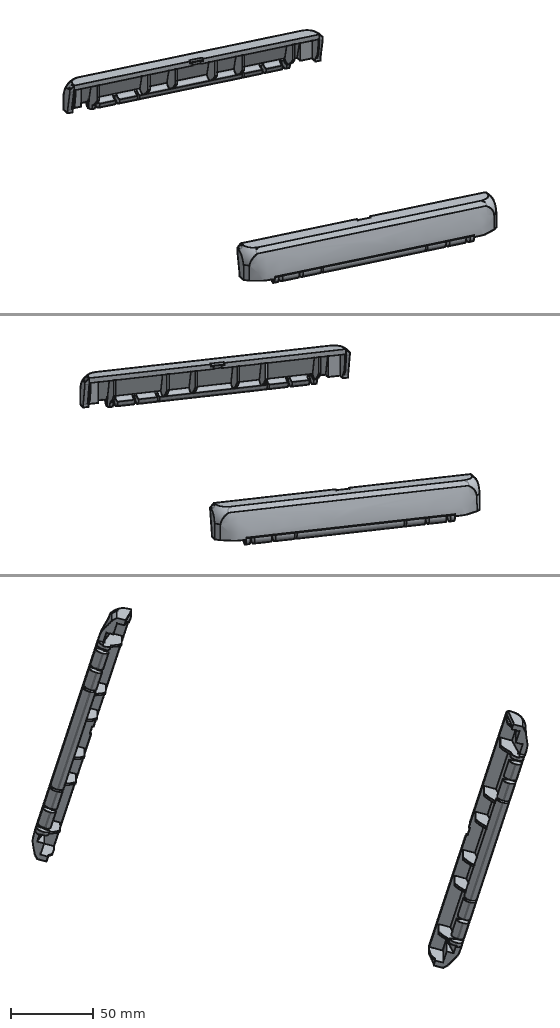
import cadquery as cq
import math

PAIR_WIDTH = 271.0
LENGTH = 170.0
HEIGHT = 24.5
HALF_LENGTH = LENGTH / 2
OUTER_X = -PAIR_WIDTH / 2
TOP_Z = HEIGHT / 2

COVER_WIDTH = 16.5
SHELL_DEPTH = 20.0
SIDE_TOP_INSET = 4.5
LEAN_BOW = 1.4
END_INSET = 4.3
END_BEND_LENGTH = 8.7
BEND_SOFTNESS = 0.2
CHAMFER = 2.7
SIDE_CHAMFER = 2.5
CORNER_SETBACK = 9.8
CORNER_BALL_RADIUS = 12.0
SKIN_COLUMNS = 60
SKIN_ROWS = 6
SKIN_TOLERANCE = 0.01

TOP_THICKNESS = 3.3
SIDE_THICKNESS = 3.5
END_THICKNESS = 3.5
REBATE = 2.7
REBATE_TOP = (16.0, 4.0)
REBATE_FOOT = (12.7, 18.0)
TONGUE_TOP_DEPTH = 7.5
TONGUE_FOOT = (15.5, 14.4)

RAIL_HALF_LENGTH = 67.0
RAIL_WIDTH = 8.0
RAIL_RADIUS = 4.0
TOE_RADIUS = 3.5
LEDGE_DEPTH = 20.3
LEDGE_FILLET = 3.5
TOE_SETBACK = 0.5
RELIEF_DEPTH = 19.2
RELIEF_HEIGHT = 0.8
RAIL_INSET = 0.4
RAIL_GAPS = [(34.5, 35.8), (48.0, 50.5), (61.5, 64.2)]

RIB_THICKNESS = 1.4
RIB_OUTER_FACES = [14.0, 32.2, RAIL_HALF_LENGTH - TOE_SETBACK]
RIB_EDGE = 15.5
RIB_EDGE_DEPTH = 14.0
RIB_STEP = (12.7, 17.3)

NOTCH_STEPS = [(8.7, 1.5, TOP_THICKNESS / 2), (5.1, 0.8, TOP_THICKNESS)]

BOTH_ENDS = (-1, 1)


def at(inset, depth):
    """X and Z of a point given by its inset from the outer side and its depth below the top."""
    return (OUTER_X + inset, TOP_Z - depth)


def extrude_along_y(points, y_from, y_to):
    """Extrude an outline of (inset, depth) points between two Y positions."""
    plane = cq.Workplane("XZ", origin=(0, y_from, 0))
    return plane.polyline([at(*p) for p in points]).close().extrude(y_from - y_to)


def side_inset(y, depth):
    """Inset of the outer side: bowed and leaning along the middle, turning upright at the ends."""
    lean_end = RELIEF_DEPTH - RELIEF_HEIGHT
    rise = max(lean_end - depth, 0) / (lean_end - CHAMFER)
    lean = SIDE_TOP_INSET * rise ** LEAN_BOW
    past_bend = abs(y) - (HALF_LENGTH - CHAMFER - END_BEND_LENGTH)
    turn = past_bend / END_BEND_LENGTH
    share = (turn + math.hypot(turn, BEND_SOFTNESS)) / 2
    return lean + (END_INSET - lean) * share


def behind_outer_side():
    """Everything inward of the smooth outer side."""
    grid = []
    for i in range(SKIN_COLUMNS + 1):
        y = HALF_LENGTH * (2 * i / SKIN_COLUMNS - 1)
        depths = [SHELL_DEPTH * j / SKIN_ROWS for j in range(SKIN_ROWS + 1)]
        grid.append([cq.Vector(OUTER_X + side_inset(y, d), y, TOP_Z - d) for d in depths])
    skin = cq.Face.makeSplineApprox(grid, tol=SKIN_TOLERANCE, smoothing=None, minDeg=3, maxDeg=3)
    return cq.Workplane(cq.Solid.extrudeLinear(skin, cq.Vector(2 * COVER_WIDTH, 0, 0)))


def shell_section():
    """Outline seen along Y: flat top, chamfer plane and leaning inner edge."""
    chamfer_reach = CHAMFER * (SIDE_TOP_INSET + SIDE_CHAMFER) / SIDE_CHAMFER
    points = [
        (COVER_WIDTH, 0),
        (SIDE_TOP_INSET + SIDE_CHAMFER, 0),
        (0, chamfer_reach),
        (0, SHELL_DEPTH),
        (REBATE_FOOT[0], SHELL_DEPTH),
        REBATE_FOOT,
        TONGUE_FOOT,
        (COVER_WIDTH, TONGUE_TOP_DEPTH),
    ]
    return extrude_along_y(points, -HALF_LENGTH, HALF_LENGTH)


def end_rebate(end):
    """Material removed to set back the inner edge of the outer part of an end wall."""
    points = [
        (REBATE_TOP[0], 0),
        REBATE_TOP,
        REBATE_FOOT,
        (COVER_WIDTH, REBATE_FOOT[1]),
        (COVER_WIDTH, 0),
    ]
    return extrude_along_y(points, end * HALF_LENGTH, end * (HALF_LENGTH - REBATE))


def shell_plan():
    """Outline seen from above, with a chamfer plane between the outer side and each end."""
    inner_x = OUTER_X + COVER_WIDTH
    face_inset = END_INSET + SIDE_CHAMFER
    chamfer_y = HALF_LENGTH - CHAMFER * face_inset / SIDE_CHAMFER
    outline = [
        (inner_x, -HALF_LENGTH),
        (OUTER_X + face_inset, -HALF_LENGTH),
        (OUTER_X, -chamfer_y),
        (OUTER_X, chamfer_y),
        (OUTER_X + face_inset, HALF_LENGTH),
        (inner_x, HALF_LENGTH),
    ]
    return cq.Workplane("XY", origin=(0, 0, TOP_Z)).polyline(outline).close().extrude(-HEIGHT)


def shell_side():
    """Outline seen along X: rectangle with a chamfer between the top and each end."""
    middle_z = TOP_Z - SHELL_DEPTH / 2
    return (
        cq.Workplane("XY")
        .box(COVER_WIDTH, LENGTH, SHELL_DEPTH)
        .edges("|X and >Z")
        .chamfer(CHAMFER)
        .translate((OUTER_X + COVER_WIDTH / 2, 0, middle_z))
    )


def corner_cutter():
    """What lies outside a ball at the -Y top corner; the ball rounds the three flat faces there."""
    centre_x, centre_z = at(END_INSET + CORNER_SETBACK, CORNER_SETBACK)
    centre_y = CORNER_SETBACK - HALF_LENGTH
    size = 2 * CORNER_SETBACK
    octant = cq.Workplane("XY").box(size, size, size).translate((-size / 2, -size / 2, size / 2))
    ball = cq.Workplane("XY").sphere(CORNER_BALL_RADIUS)
    return octant.cut(ball).translate((centre_x, centre_y, centre_z))


def cavity():
    """Space inside the walls, open below and on the inner side."""
    points = [
        (COVER_WIDTH, TOP_THICKNESS),
        (SIDE_TOP_INSET + SIDE_THICKNESS, TOP_THICKNESS),
        (SIDE_THICKNESS, RELIEF_DEPTH),
        (SIDE_THICKNESS, SHELL_DEPTH),
        (COVER_WIDTH, SHELL_DEPTH),
    ]
    reach = HALF_LENGTH - END_THICKNESS
    return extrude_along_y(points, -reach, reach)


def end_liner(end):
    """Wall that keeps its thickness where the outer side curves inward at one end."""
    points = [
        (0, 0),
        (END_INSET + SIDE_THICKNESS, 0),
        (END_INSET + SIDE_THICKNESS, SHELL_DEPTH),
        (0, SHELL_DEPTH),
    ]
    outer = end * HALF_LENGTH
    return extrude_along_y(points, outer, outer - end * (CHAMFER + END_BEND_LENGTH))


def wall_relief():
    """Shallow step that raises the lower edge of the outer wall, with a chamfered outer edge."""
    points = [
        (0, RELIEF_DEPTH - RELIEF_HEIGHT),
        (RAIL_INSET, RELIEF_DEPTH),
        (SIDE_THICKNESS, RELIEF_DEPTH),
        (SIDE_THICKNESS, SHELL_DEPTH),
        (0, SHELL_DEPTH),
    ]
    return extrude_along_y(points, -RAIL_HALF_LENGTH, RAIL_HALF_LENGTH)


def toe_cut(end):
    """Space beyond the inner part of the rail at one end of it."""
    points = [
        (SIDE_THICKNESS, RELIEF_DEPTH),
        (COVER_WIDTH, RELIEF_DEPTH),
        (COVER_WIDTH, HEIGHT),
        (SIDE_THICKNESS, HEIGHT),
    ]
    return extrude_along_y(points, end * RAIL_HALF_LENGTH, end * (RAIL_HALF_LENGTH - TOE_SETBACK))


def rail():
    """Round-bottomed rail with a ledge filleted into the outer wall, before it is split by gaps."""
    toe = RAIL_INSET + RAIL_WIDTH
    diagonal = math.sqrt(0.5)
    toe_bend = TOE_RADIUS * (1 - diagonal)
    ledge_bend = LEDGE_FILLET * (1 - diagonal)
    centre_depth = HEIGHT - RAIL_RADIUS
    centre_inset = RAIL_INSET + math.sqrt(RAIL_RADIUS**2 - (centre_depth - RELIEF_DEPTH) ** 2)
    return (
        cq.Workplane("XZ", origin=(0, -RAIL_HALF_LENGTH, 0))
        .moveTo(*at(RAIL_INSET, RELIEF_DEPTH))
        .threePointArc(
            at(centre_inset - RAIL_RADIUS * diagonal, centre_depth + RAIL_RADIUS * diagonal),
            at(centre_inset, HEIGHT),
        )
        .lineTo(*at(toe - TOE_RADIUS, HEIGHT))
        .threePointArc(at(toe - toe_bend, HEIGHT - toe_bend), at(toe, HEIGHT - TOE_RADIUS))
        .lineTo(*at(toe, LEDGE_DEPTH))
        .lineTo(*at(SIDE_THICKNESS + LEDGE_FILLET, LEDGE_DEPTH))
        .threePointArc(
            at(SIDE_THICKNESS + ledge_bend, LEDGE_DEPTH - ledge_bend),
            at(SIDE_THICKNESS, LEDGE_DEPTH - LEDGE_FILLET),
        )
        .lineTo(*at(SIDE_THICKNESS / 2, LEDGE_DEPTH - LEDGE_FILLET))
        .lineTo(*at(SIDE_THICKNESS / 2, RELIEF_DEPTH))
        .close()
        .extrude(-2 * RAIL_HALF_LENGTH)
    )


def rail_gap(end, y_from, y_to):
    """One gap through the rail, up to the lower edge of the outer wall."""
    points = [(0, RELIEF_DEPTH), (COVER_WIDTH, RELIEF_DEPTH), (COVER_WIDTH, HEIGHT), (0, HEIGHT)]
    return extrude_along_y(points, end * y_from, end * y_to)


def rib(end, outer_face):
    """Cross rib from the outer wall to the inner edge, standing on the rail."""
    toe = RAIL_INSET + RAIL_WIDTH
    points = [
        (SIDE_TOP_INSET + SIDE_CHAMFER, TOP_THICKNESS / 2),
        (RIB_EDGE, TOP_THICKNESS / 2),
        (RIB_EDGE, RIB_EDGE_DEPTH),
        RIB_STEP,
        (toe, LEDGE_DEPTH),
        (SIDE_THICKNESS / 2, LEDGE_DEPTH),
    ]
    return extrude_along_y(points, end * outer_face, end * (outer_face - RIB_THICKNESS))


def notch(length, width, depth):
    """One step of the notch in the middle of the inner edge of the top."""
    floor = COVER_WIDTH - width
    points = [(floor, 0), (COVER_WIDTH, 0), (COVER_WIDTH, depth), (floor, depth)]
    return extrude_along_y(points, -length / 2, length / 2)


def side_cover():
    """The cover on the -X side, as one solid."""
    outside = shell_section().intersect(shell_plan()).intersect(shell_side())
    outside = outside.intersect(behind_outer_side())
    corner = corner_cutter()
    outside = outside.cut(corner).cut(corner.mirror("XZ"))
    for end in BOTH_ENDS:
        outside = outside.cut(end_rebate(end))

    hollow = cavity()
    for end in BOTH_ENDS:
        hollow = hollow.cut(end_liner(end))
    cover = outside.cut(hollow).cut(wall_relief()).union(rail())

    for end in BOTH_ENDS:
        cover = cover.cut(toe_cut(end))
        for y_from, y_to in RAIL_GAPS:
            cover = cover.cut(rail_gap(end, y_from, y_to))
        for outer_face in RIB_OUTER_FACES:
            cover = cover.union(rib(end, outer_face))
    for length, width, depth in NOTCH_STEPS:
        cover = cover.cut(notch(length, width, depth))
    return cover


left_cover = side_cover()
right_cover = left_cover.mirror("YZ")

result = cq.Compound.makeCompound([left_cover.val(), right_cover.val()])